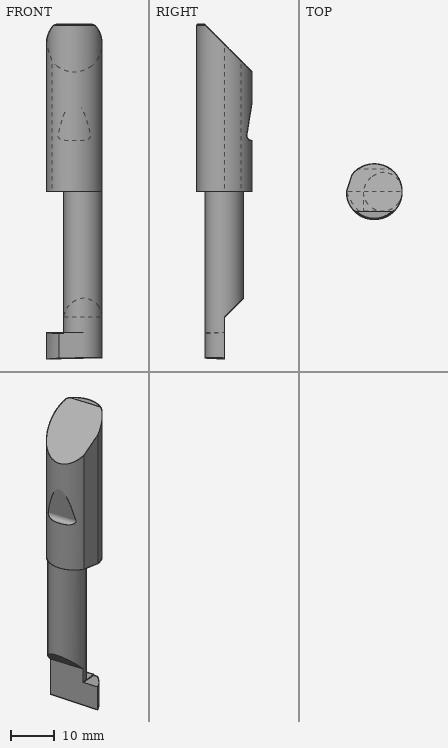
import cadquery as cq
import math

total_length = 76.2
rake_y = 0.1
shank_diameter = 12.7
shank_radius = shank_diameter / 2
shank_bottom = 38.1

flat_end_y = 3.8

land_y = -4.5
rim_chamfer = 0.3

notch_top = 58.5
notch_bottom = 49.75
notch_depth = 1.2
notch_corner_radius = 1.15

neck_radius = 4.4
neck_x = shank_radius - neck_radius
neck_left_x = neck_x - neck_radius
neck_back_reach = 4.2
relief_bottom = 9.5

head_height = 6.0
head_front_x = -3.5
flank_bulge = 0.3
upper_clearance = 3.0
side_clearance = 1.3
lower_clearance = 2.0

big = 3 * shank_radius


def make_shank():
    body = (
        cq.Workplane("XY", origin=(0, 0, shank_bottom))
        .circle(shank_radius)
        .extrude(total_length - shank_bottom)
        .faces(">Z").chamfer(rim_chamfer)
    )
    flat_end_x = -math.sqrt(shank_radius**2 - flat_end_y**2)
    flat = (
        cq.Workplane("XY", origin=(0, 0, shank_bottom))
        .moveTo(-shank_radius, 0)
        .lineTo(flat_end_x, flat_end_y)
        .lineTo(-shank_radius, flat_end_y)
        .close()
        .extrude(total_length - shank_bottom)
    )
    bevel = (
        cq.Workplane("YZ", origin=(-big / 2, 0, 0))
        .moveTo(land_y, total_length)
        .lineTo(land_y + big, total_length - big)
        .lineTo(land_y + big, total_length)
        .close()
        .extrude(big)
    )
    notch_floor_y = shank_radius - notch_depth
    notch = (
        cq.Workplane("YZ", origin=(-big / 2, 0, 0))
        .moveTo(shank_radius, notch_top)
        .lineTo(notch_floor_y, notch_bottom + notch_corner_radius)
        .radiusArc((notch_floor_y + notch_corner_radius, notch_bottom), -notch_corner_radius)
        .lineTo(shank_radius, notch_bottom)
        .close()
        .extrude(big)
    )
    return body.cut(flat).cut(bevel).cut(notch)


def make_neck():
    diagonal = neck_back_reach * math.sqrt(0.5)
    neck = (
        cq.Workplane("XY")
        .moveTo(neck_left_x, 0)
        .threePointArc((neck_x - diagonal, diagonal), (neck_x, neck_radius))
        .threePointArc((shank_radius, 0), (neck_x, -neck_radius))
        .radiusArc((neck_left_x, 0), neck_radius)
        .close()
        .extrude(shank_bottom)
    )
    relief = (
        cq.Workplane("YZ", origin=(-big / 2, 0, 0))
        .moveTo(rake_y, 0)
        .lineTo(big, 0)
        .lineTo(big, relief_bottom + big - rake_y)
        .lineTo(rake_y, relief_bottom)
        .close()
        .extrude(big)
    )
    return neck.cut(relief)


def make_head():
    chord_x = head_front_x + shank_radius
    chord_y = neck_radius + rake_y
    chord = math.hypot(chord_x, chord_y)
    flank_mid = (
        (head_front_x - shank_radius) / 2 - flank_bulge * chord_y / chord,
        (rake_y - neck_radius) / 2 - flank_bulge * chord_x / chord,
    )
    head = (
        cq.Workplane("XY")
        .moveTo(-shank_radius, rake_y)
        .threePointArc(flank_mid, (head_front_x, -neck_radius))
        .lineTo(neck_x, -neck_radius)
        .lineTo(neck_x, rake_y)
        .close()
        .extrude(head_height)
    )
    above = (
        cq.Workplane("XY")
        .box(big, big, big, centered=(True, True, False))
        .rotate((0, 0, 0), (1, 0, 0), upper_clearance)
        .translate((neck_left_x - big / 2, rake_y, head_height))
    )
    return head.cut(above)


def make_end_clearance():
    """Block below the tilted end face, which passes through the head's tip."""
    return (
        cq.Workplane("XY")
        .box(2 * big, 2 * big, big, centered=(True, True, False))
        .translate((0, 0, -big))
        .rotate((0, 0, 0), (1, 0, 0), -lower_clearance)
        .rotate((0, 0, 0), (0, 1, 0), -side_clearance)
        .translate((-shank_radius, rake_y, 0))
    )


result = make_shank().union(make_neck()).union(make_head()).cut(make_end_clearance())